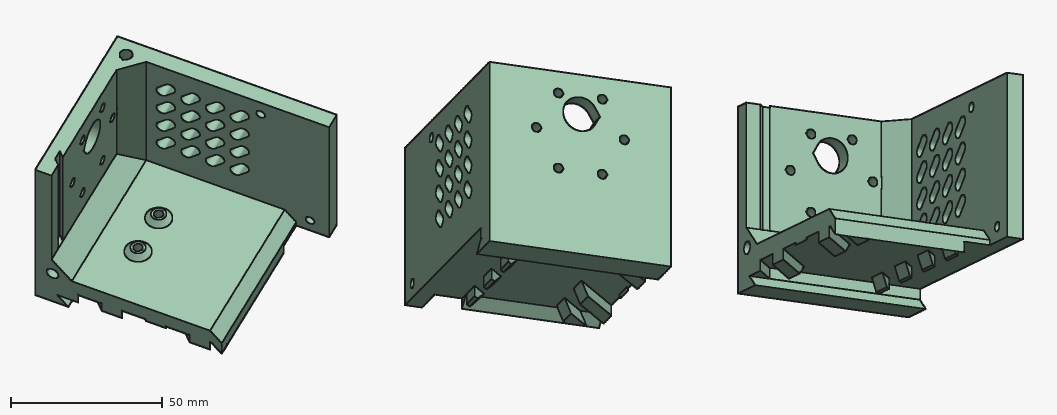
import cadquery as cq
import math

length = 80.2
side = 64.0
wall = 6.0
floor_length = 68.2
floor_top = 13.8
corner_chamfer = 7.4
edge_chamfer = 4.25
floor_bottom = floor_top - wall
back_face = side - wall
corner = wall + corner_chamfer

tooth_bottom = 4.1
tooth_height = floor_bottom - tooth_bottom
hook_root = 8.1
tooth_start = 8.35
tooth_width = 7.45
tooth_pitch = 16.0
tooth_count = 7
teeth_end = 48.4
short_tooth = 2
channel_front = 16.85
channel_back = 43.0

motor_y = side / 2
motor_z = 42.9
motor_radius = 18.8
boss_radius = 6.0
boss_offset = 7.0
screw_circle_radius = 15.5
screw_count = 6
tip_half_sweep = math.radians(30)

vent_x = 20.5
vent_z = 26.15
vent_pitch = 9.0
vent_count = 4
vent_width = 4.0
vent_length = 8.0

screw_radius = 1.6
back_holes = [(55.2, 58.1), (73.2, 12.9)]
front_hole_x = 6.4
front_hole_z = 14.2
corner_hole_radius = 2.2
corner_hole_depth = 10.0

seat_x = 27.75
seat_y = 21.0
seat_pitch = 16.0
seat_count = 2
seat_height = 2.0
seat_base_radius = 4.6
seat_top_radius = 2.6
seat_hole_depth = 6.0

groove_depth = 2.0
groove_width = 3.7
groove_mouth = 5.1

inwards = (1, 0, 0)
downwards = (0, 0, -1)


def box(x0, x1, y0, y1, z0, z1):
    return cq.Workplane("XY").box(x1 - x0, y1 - y0, z1 - z0, centered=False).translate((x0, y0, z0))


def prism_along_y(points, depth):
    """Extrude an X-Z outline from Y = 0 to Y = depth."""
    return cq.Workplane("XZ").polyline(points).close().extrude(-depth)


def teardrop(origin, axis, radius, depth):
    """Round hole along axis with a pointed relief towards -Y."""
    plane = cq.Plane(origin=origin, xDir=(0, -1, 0), normal=axis)
    tangent_x = radius * math.cos(tip_half_sweep)
    tangent_y = radius * math.sin(tip_half_sweep)
    return (
        cq.Workplane(plane)
        .moveTo(radius / math.cos(tip_half_sweep), 0)
        .lineTo(tangent_x, tangent_y)
        .threePointArc((-radius, 0), (tangent_x, -tangent_y))
        .close()
        .extrude(depth)
    )


def make_shell():
    """Side wall with its hooked foot, floor with its hooked free edge, and back wall."""
    profile = [
        (0, 0),
        (hook_root + tooth_bottom, 0),
        (hook_root, tooth_bottom),
        (tooth_start, tooth_bottom),
        (tooth_start, floor_bottom),
        (floor_length, floor_bottom),
        (floor_length, floor_top - edge_chamfer),
        (floor_length - edge_chamfer, floor_top),
        (corner, floor_top),
        (wall, floor_top + corner_chamfer),
        (wall, side),
        (0, side),
    ]
    back_wall = box(0, length, back_face, side, floor_bottom, side)
    upright_corner = (
        cq.Workplane("XY", origin=(0, 0, floor_bottom))
        .polyline([(wall, back_face), (corner, back_face), (wall, back_face - corner_chamfer)])
        .close()
        .extrude(side - floor_bottom)
    )
    hook = prism_along_y(
        [
            (floor_length - tooth_height, floor_bottom),
            (floor_length, floor_bottom),
            (floor_length, tooth_bottom),
        ],
        teeth_end,
    )
    return prism_along_y(profile, side).union(back_wall).union(upright_corner).union(hook)


def flared_channel(front):
    """Channel along X from Y = front to channel_back at its roof, widening downwards at 45 degrees."""
    return (
        cq.Workplane("YZ")
        .polyline(
            [
                (front, floor_bottom),
                (channel_back, floor_bottom),
                (channel_back + tooth_height, tooth_bottom),
                (front - tooth_height, tooth_bottom),
            ]
        )
        .close()
        .extrude(floor_length)
    )


def tooth(index):
    """Tooth running at 45 degrees in plan, towards -X and +Y, interrupted by the channel."""
    x = tooth_start + index * tooth_pitch
    bar = (
        cq.Workplane("XY", origin=(0, 0, floor_bottom))
        .polyline([(x, 0), (x + tooth_width, 0), (x + tooth_width - side, side), (x - side, side)])
        .close()
        .extrude(-tooth_height)
    )
    front = channel_front - tooth_pitch if index == short_tooth else channel_front
    return bar.cut(flared_channel(front))


def make_teeth():
    """All teeth, trimmed to the floor."""
    teeth = tooth(0)
    for index in range(1, tooth_count):
        teeth = teeth.union(tooth(index))
    return teeth.intersect(box(tooth_start, floor_length, 0, teeth_end, tooth_bottom, floor_bottom))


def motor_cuts():
    """Body clearance, offset boss hole and screw holes through the side wall."""
    cuts = (
        cq.Workplane("YZ", origin=(wall, motor_y, motor_z))
        .circle(motor_radius)
        .extrude(corner_chamfer)
    )
    cuts = cuts.union(teardrop((0, motor_y, motor_z + boss_offset), inwards, boss_radius, wall))
    for i in range(screw_count):
        angle = 2 * math.pi * i / screw_count
        y = motor_y + screw_circle_radius * math.cos(angle)
        z = motor_z + screw_circle_radius * math.sin(angle)
        cuts = cuts.union(teardrop((0, y, z), inwards, screw_radius, wall))
    return cuts


def vent_slots():
    """Square grid of slots leaning at 45 degrees, through the back wall."""
    grid_span = (vent_count - 1) * vent_pitch
    return (
        cq.Workplane("XZ", origin=(vent_x + grid_span / 2, side, vent_z + grid_span / 2))
        .rarray(vent_pitch, vent_pitch, vent_count, vent_count)
        .slot2D(vent_length, vent_width, 45)
        .extrude(wall)
    )


def back_wall_holes():
    """Plain holes through the free end of the back wall."""
    return (
        cq.Workplane("XZ", origin=(0, side, 0))
        .pushPoints(back_holes)
        .circle(screw_radius)
        .extrude(wall)
    )


def corner_holes():
    """Blind holes in the thickened corners, from the top and from the front."""
    top = teardrop((wall, back_face, side), downwards, corner_hole_radius, corner_hole_depth)
    front = (
        cq.Workplane("XZ", origin=(front_hole_x, 0, front_hole_z))
        .circle(corner_hole_radius)
        .extrude(-corner_hole_depth)
    )
    return top.union(front)


def slanted_groove():
    """Groove open at the top, entering the side wall at 45 degrees in plan."""
    return (
        cq.Workplane("XY", origin=(0, 0, side))
        .polyline(
            [
                (wall, groove_mouth),
                (wall, groove_mouth + groove_width),
                (wall - groove_depth, groove_mouth + groove_width + groove_depth),
                (wall - groove_depth, groove_mouth + groove_depth),
            ]
        )
        .close()
        .extrude(floor_top + corner_chamfer - side)
    )


def screw_seat(y):
    """Cone that stands on the floor."""
    base_centre = cq.Vector(seat_x, y, floor_top)
    return cq.Workplane(cq.Solid.makeCone(seat_base_radius, seat_top_radius, seat_height, base_centre))


def seat_hole(y):
    """Blind hole from the top of a screw seat into the floor."""
    return teardrop((seat_x, y, floor_top + seat_height), downwards, screw_radius, seat_hole_depth)


result = make_shell().union(make_teeth())
for cut in (motor_cuts(), vent_slots(), back_wall_holes(), corner_holes(), slanted_groove()):
    result = result.cut(cut)
for seat in range(seat_count):
    y = seat_y + seat * seat_pitch
    result = result.union(screw_seat(y)).cut(seat_hole(y))